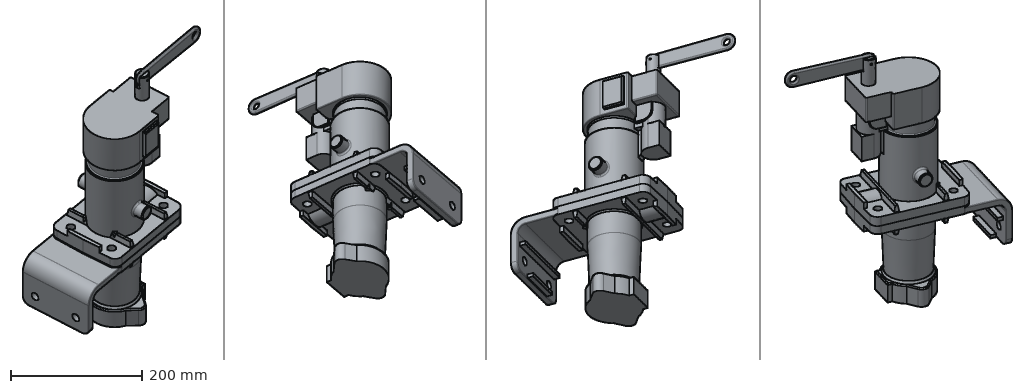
import cadquery as cq
import math


PARTING_Z = 164.8
PLATE_WIDTH = 128.5
PLATE_LENGTH = 165.0
PLATE_CENTRE_Y = 6.5
PLATE_CORNER_RADIUS = 13.0
UPPER_PLATE_TOP = 180.8
LOWER_PLATE_BOTTOM = 150.5
BOLT_DIAMETER = 13.5
BOLT_SPACING_X = 79.0
BOLT_SPACING_Y = 127.0

RIB_HEIGHT = 10.5
RIB_BASE_LENGTH = 123.5
RIB_BASE_WIDTH = 8.2
RIB_TAPER = 10.0
RIB_YS = (48.5, -35.0)
LIP_LENGTH = 62.3
LIP_THICKNESS = 7.0
END_CROWN = 1.7
POST_DIAMETER = 7.0
POST_HEIGHT = 12.5
POST_X = 29.0
CHANNEL_RADIUS = 23.5

TUBE_DIAMETER = 90.0
TUBE_TOP = 295.5
TUBE_CHAMFER = 1.7
NECK_DIAMETER = 80.5
NECK_FILLET = 1.7
NECK_FLARE_HEIGHT = 3.0
NECK_FLARE_WIDTH = 1.5
TRUNNION_DIAMETER = 23.5
TRUNNION_SPAN = 126.3
TRUNNION_Z = 225.0
TRUNNION_CHAMFER = 1.7
TRUNNION_FILLET = 3.0

SLEEVE_DIAMETER = 82.0
SLEEVE_FLARE = 2.5
SLEEVE_TAPER_TOP = 110.5
SLEEVE_END_DIAMETER = 76.5
FOOT_HEIGHT = 33.0
FOOT_RADIUS = 44.0
FOOT_FILLET = 2.0
FOOT_CONE_HEIGHT = 4.5
FOOT_CONE_RADIUS = 41.0
EAR_REACH = 58.0
EAR_TIP_RADIUS = 11.5
EAR_TANGENT_ANGLE = 53.0
EAR_ROOT_X = 37.0
EAR_ROOT_Y = 22.5
TAB_HALF_WIDTH = 23.0
TAB_REACH_Y = 46.0

ARM_END_Y = -145.0
ARM_BOTTOM = 75.2
ARM_TOP = 162.5
ARM_THICKNESS = 11.5
ARM_BEND_RADIUS = 25.0
ARM_CORNER_RADIUS = 13.0
ARM_EDGE_FILLET = 1.5
ARM_HOLE_Z = 100.5
ARM_RIB_REACH = 10.0
ARM_RIB_THICKNESS = 6.0
ARM_RIB_LENGTH = 112.5
ARM_RIB_Z = 122.0

HEAD_TOP = 381.0
HEAD_BOTTOM = 317.5
HEAD_RADIUS = 48.0
HEAD_BACK_Y = 48.5
HEAD_FILLET = 1.5
BLOCK_LEFT_X = -41.0
BLOCK_RIGHT_X = 34.0
BLOCK_BACK_Y = 91.2
BLOCK_BOTTOM = 337.0
BLOCK_FILLET = 2.0
SIDE_PAD_THICKNESS = 5.5
SIDE_PAD_Y = (8.5, 42.5)
SIDE_PAD_Z = (325.0, 374.5)
SIDE_PAD_CHAMFER = 2.0

MOTOR_RADIUS = 18.5
MOTOR_BOTTOM = 256.5
TERMINAL_BACK_Y = 87.5
TERMINAL_TOP = 299.5
CHEEK_HALF_WIDTH = 19.5
CHEEK_BACK_Y = 75.0
CHEEK_BOTTOM = 307.0
CHEEK_CORNER_RADIUS = 15.0
CHEEK_CHAMFER = 1.5
WEB_HALF_WIDTH = 6.5
RAIL_HALF_WIDTH = 15.0
WEB_BOTTOM = 252.5

SHAFT_Y = 67.5
SHAFT_DIAMETER = 22.0
SHAFT_TOP = 427.3
SHAFT_CHAMFER = 1.5
SLOT_BOTTOM = 404.5
LEVER_THICKNESS = 6.5
LEVER_EDGE_FILLET = 2.5
EYE_RADIUS = 14.0
EYE_HOLE_DIAMETER = 11.2
EYE_Y = 193.7
LEVER_Z = 418.5
PIVOT_END_RADIUS = 12.5
PIVOT_HOLE_DIAMETER = 2.7

TUBE_RADIUS = TUBE_DIAMETER / 2
PLATE_BACK_Y = PLATE_CENTRE_Y + PLATE_LENGTH / 2
PLATE_FRONT_Y = PLATE_CENTRE_Y - PLATE_LENGTH / 2
FOOT_CONE_TOP = FOOT_HEIGHT + FOOT_CONE_HEIGHT


def block(x_range, y_range, z_range):
    """Axis-aligned box from its ranges along X, Y and Z."""
    size = [high - low for low, high in (x_range, y_range, z_range)]
    return cq.Workplane("XY").box(*size, centered=False).translate((x_range[0], y_range[0], z_range[0]))


def cylinder(radius, bottom, top, y=0):
    """Upright cylinder on the plane X = 0."""
    return cq.Workplane("XY", origin=(0, y, bottom)).circle(radius).extrude(top - bottom)


def plate_prism(bottom, top):
    """Plate outline, whose two ends rise to a slight peak at X = 0."""
    half_width = PLATE_WIDTH / 2
    half_outline = [
        (half_width, PLATE_FRONT_Y),
        (half_width, PLATE_BACK_Y),
        (0, PLATE_BACK_Y + END_CROWN),
    ]
    other_half = [
        (-half_width, PLATE_BACK_Y),
        (-half_width, PLATE_FRONT_Y),
        (0, PLATE_FRONT_Y - END_CROWN),
    ]
    prism = cq.Workplane("XY", origin=(0, 0, bottom)).polyline(half_outline + other_half).close()
    return prism.extrude(top - bottom)


def clamp_plate(bottom, top):
    return plate_prism(bottom, top).edges("|Z and (<X or >X)").fillet(PLATE_CORNER_RADIUS)


def plate_stiffeners(surface_z, direction):
    """Ribs, posts, end lips and channel half that stand on a plate face; direction is +1 up, -1 down."""
    face = cq.Plane(origin=(0, 0, surface_z), xDir=(1, 0, 0), normal=(0, 0, direction))
    stiffeners = cq.Workplane("XY")
    for y in RIB_YS:
        rib = cq.Workplane(face).center(0, direction * y).rect(RIB_BASE_LENGTH, RIB_BASE_WIDTH)
        stiffeners = stiffeners.add(rib.extrude(RIB_HEIGHT, taper=RIB_TAPER))

    posts = [(-POST_X, direction * RIB_YS[1]), (POST_X, direction * RIB_YS[1])]
    stiffeners = stiffeners.add(
        cq.Workplane(face).pushPoints(posts).circle(POST_DIAMETER / 2).extrude(POST_HEIGHT)
    )

    lip_z = sorted((PARTING_Z, surface_z + direction * RIB_HEIGHT))
    back_peak = PLATE_BACK_Y + END_CROWN
    front_peak = PLATE_FRONT_Y - END_CROWN
    for y_range in ((back_peak - LIP_THICKNESS, back_peak), (front_peak, front_peak + LIP_THICKNESS)):
        lip = block((-LIP_LENGTH / 2, LIP_LENGTH / 2), y_range, lip_z)
        stiffeners = stiffeners.add(lip.intersect(plate_prism(*lip_z)))

    channel = (
        cq.Workplane("XZ", origin=(0, PLATE_BACK_Y, PARTING_Z))
        .circle(CHANNEL_RADIUS)
        .extrude(PLATE_BACK_Y - RIB_YS[0])
    )
    half_z = sorted((PARTING_Z, PARTING_Z + direction * CHANNEL_RADIUS))
    half_space = block((-CHANNEL_RADIUS, CHANNEL_RADIUS), (0, PLATE_BACK_Y), half_z)
    return stiffeners.add(channel.intersect(half_space)).combine()


def bolt_holes():
    return (
        cq.Workplane("XY", origin=(0, PLATE_CENTRE_Y, LOWER_PLATE_BOTTOM))
        .rect(BOLT_SPACING_X, BOLT_SPACING_Y, forConstruction=True)
        .vertices()
        .circle(BOLT_DIAMETER / 2)
        .extrude(UPPER_PLATE_TOP - LOWER_PLATE_BOTTOM)
    )


def trunnions():
    return (
        cq.Workplane("YZ", origin=(-TRUNNION_SPAN / 2, 0, TRUNNION_Z))
        .circle(TRUNNION_DIAMETER / 2)
        .extrude(TRUNNION_SPAN)
        .faces("<X or >X")
        .chamfer(TRUNNION_CHAMFER)
    )


def neck_flare():
    """Cone that widens the neck where it meets the gear head."""
    neck_radius = NECK_DIAMETER / 2
    profile = (
        cq.Workplane("XZ")
        .moveTo(0, HEAD_BOTTOM - NECK_FLARE_HEIGHT)
        .lineTo(neck_radius, HEAD_BOTTOM - NECK_FLARE_HEIGHT)
        .lineTo(neck_radius + NECK_FLARE_WIDTH, HEAD_BOTTOM)
        .lineTo(0, HEAD_BOTTOM)
        .close()
    )
    return profile.revolve(360, (0, 0), (0, 1))


def make_upper_housing():
    tube = cylinder(TUBE_RADIUS, PARTING_Z, TUBE_TOP).faces(">Z").chamfer(TUBE_CHAMFER)
    tube = tube.union(trunnions())
    root_box = cq.selectors.BoxSelector(
        (-TUBE_RADIUS, -TRUNNION_DIAMETER, TRUNNION_Z - TRUNNION_DIAMETER),
        (TUBE_RADIUS, TRUNNION_DIAMETER, TRUNNION_Z + TRUNNION_DIAMETER),
    )
    tube = tube.edges(root_box).edges("not |Z").fillet(TRUNNION_FILLET)

    neck = cylinder(NECK_DIAMETER / 2, TUBE_TOP, HEAD_BOTTOM)
    column = tube.union(neck)
    neck_root = cq.selectors.BoxSelector(
        (-TUBE_RADIUS, -TUBE_RADIUS, TUBE_TOP - TUBE_CHAMFER / 4),
        (TUBE_RADIUS, TUBE_RADIUS, TUBE_TOP + TUBE_CHAMFER / 4),
    )
    column = column.edges(neck_root).edges(cq.selectors.RadiusNthSelector(0)).fillet(NECK_FILLET)
    column = column.union(neck_flare())
    plate = clamp_plate(PARTING_Z, UPPER_PLATE_TOP).union(plate_stiffeners(UPPER_PLATE_TOP, 1))
    return plate.cut(bolt_holes()).union(column)


def lower_sleeve():
    profile = (
        cq.Workplane("XZ")
        .lineTo(FOOT_CONE_RADIUS, 0)
        .lineTo(FOOT_CONE_RADIUS, FOOT_HEIGHT)
        .lineTo(SLEEVE_END_DIAMETER / 2, FOOT_CONE_TOP)
        .lineTo(SLEEVE_DIAMETER / 2, SLEEVE_TAPER_TOP)
        .lineTo(SLEEVE_DIAMETER / 2, LOWER_PLATE_BOTTOM - SLEEVE_FLARE)
        .lineTo(SLEEVE_DIAMETER / 2 + SLEEVE_FLARE, LOWER_PLATE_BOTTOM)
        .lineTo(SLEEVE_DIAMETER / 2, PARTING_Z)
        .lineTo(0, PARTING_Z)
        .close()
    )
    return profile.revolve(360, (0, 0), (0, 1))


def foot():
    """Round foot with a rounded ear on each side and a flat tab at the back."""
    tip_x = EAR_REACH - EAR_TIP_RADIUS
    tangent_x = tip_x + EAR_TIP_RADIUS * math.cos(math.radians(EAR_TANGENT_ANGLE))
    tangent_y = EAR_TIP_RADIUS * math.sin(math.radians(EAR_TANGENT_ANGLE))
    ears = (
        cq.Workplane("XY")
        .moveTo(EAR_ROOT_X, -EAR_ROOT_Y)
        .lineTo(tangent_x, -tangent_y)
        .threePointArc((EAR_REACH, 0), (tangent_x, tangent_y))
        .lineTo(EAR_ROOT_X, EAR_ROOT_Y)
        .lineTo(-EAR_ROOT_X, EAR_ROOT_Y)
        .lineTo(-tangent_x, tangent_y)
        .threePointArc((-EAR_REACH, 0), (-tangent_x, -tangent_y))
        .lineTo(-EAR_ROOT_X, -EAR_ROOT_Y)
        .close()
        .extrude(FOOT_HEIGHT)
    )
    tab = block((-TAB_HALF_WIDTH, TAB_HALF_WIDTH), (0, TAB_REACH_Y), (0, FOOT_HEIGHT))
    body = cylinder(FOOT_RADIUS, 0, FOOT_HEIGHT).union(ears).union(tab)
    return body.faces(">Z").edges().chamfer(FOOT_FILLET)


def bracket_arm():
    """Arm that leaves the lower plate and bends down to a bolted flange."""
    inner_radius = ARM_BEND_RADIUS - ARM_THICKNESS
    bend_y = ARM_END_Y + ARM_BEND_RADIUS
    bend_z = ARM_TOP - ARM_BEND_RADIUS
    diagonal = math.sqrt(0.5)
    root_y = PLATE_FRONT_Y + PLATE_CORNER_RADIUS
    arm = (
        cq.Workplane("YZ", origin=(-PLATE_WIDTH / 2, 0, 0))
        .moveTo(root_y, ARM_TOP)
        .lineTo(bend_y, ARM_TOP)
        .threePointArc(
            (bend_y - ARM_BEND_RADIUS * diagonal, bend_z + ARM_BEND_RADIUS * diagonal), (ARM_END_Y, bend_z)
        )
        .lineTo(ARM_END_Y, ARM_BOTTOM)
        .lineTo(ARM_END_Y + ARM_THICKNESS, ARM_BOTTOM)
        .lineTo(ARM_END_Y + ARM_THICKNESS, bend_z)
        .threePointArc(
            (bend_y - inner_radius * diagonal, bend_z + inner_radius * diagonal),
            (bend_y, ARM_TOP - ARM_THICKNESS),
        )
        .lineTo(root_y, ARM_TOP - ARM_THICKNESS)
        .close()
        .extrude(PLATE_WIDTH)
    )
    arm = arm.edges("|Y and <Z").fillet(ARM_CORNER_RADIUS)
    arm = arm.edges("<X or >X").fillet(ARM_EDGE_FILLET)

    holes = (
        cq.Workplane("XZ", origin=(0, ARM_END_Y + ARM_THICKNESS, ARM_HOLE_Z))
        .pushPoints([(-BOLT_SPACING_X / 2, 0), (BOLT_SPACING_X / 2, 0)])
        .circle(BOLT_DIAMETER / 2)
        .extrude(ARM_THICKNESS)
    )
    arm = arm.cut(holes)

    inner_face = ARM_END_Y + ARM_THICKNESS
    rib_low_z = ARM_BOTTOM + ARM_RIB_THICKNESS / 2
    for length, z in ((ARM_RIB_LENGTH, ARM_RIB_Z), (LIP_LENGTH, rib_low_z)):
        rib_z = (z - ARM_RIB_THICKNESS / 2, z + ARM_RIB_THICKNESS / 2)
        arm = arm.union(
            block((-length / 2, length / 2), (inner_face, inner_face + ARM_RIB_REACH), rib_z)
        )
    return arm


def make_lower_housing():
    plate = clamp_plate(LOWER_PLATE_BOTTOM, PARTING_Z)
    plate = plate.union(plate_stiffeners(LOWER_PLATE_BOTTOM, -1)).union(bracket_arm())
    return plate.cut(bolt_holes()).union(lower_sleeve()).union(foot())


def head_shell():
    shell = (
        cq.Workplane("XY", origin=(0, 0, HEAD_BOTTOM))
        .moveTo(-HEAD_RADIUS, HEAD_BACK_Y)
        .lineTo(-HEAD_RADIUS, 0)
        .threePointArc((0, -HEAD_RADIUS), (HEAD_RADIUS, 0))
        .lineTo(HEAD_RADIUS, HEAD_BACK_Y)
        .close()
        .extrude(HEAD_TOP - HEAD_BOTTOM)
    )
    shell = shell.edges("|Z and >Y").fillet(BLOCK_FILLET).faces("<Z").edges().fillet(HEAD_FILLET)
    drive_block = block((BLOCK_LEFT_X, BLOCK_RIGHT_X), (0, BLOCK_BACK_Y), (BLOCK_BOTTOM, HEAD_TOP))
    drive_block = drive_block.edges("(|Z and >Y) or <Z").fillet(BLOCK_FILLET)
    side_pad = block((0, HEAD_RADIUS + SIDE_PAD_THICKNESS), SIDE_PAD_Y, SIDE_PAD_Z)
    side_pad = side_pad.faces(">X").edges("|Y or >Y").chamfer(SIDE_PAD_CHAMFER)
    return shell.union(drive_block).union(side_pad)


def motor():
    can = cylinder(MOTOR_RADIUS, MOTOR_BOTTOM, BLOCK_BOTTOM + BLOCK_FILLET, SHAFT_Y)
    terminal_box = block(
        (-MOTOR_RADIUS, MOTOR_RADIUS), (SHAFT_Y, TERMINAL_BACK_Y), (MOTOR_BOTTOM, TERMINAL_TOP)
    )
    cheeks = block(
        (-CHEEK_HALF_WIDTH, CHEEK_HALF_WIDTH),
        (HEAD_BACK_Y - BLOCK_FILLET, CHEEK_BACK_Y),
        (CHEEK_BOTTOM, BLOCK_BOTTOM + BLOCK_FILLET),
    )
    cheeks = cheeks.edges("|X and >Y and <Z").fillet(CHEEK_CORNER_RADIUS)
    cheeks = cheeks.faces("<X or >X").edges("not(>Z or <Y)").chamfer(CHEEK_CHAMFER)
    return can.union(terminal_box).union(cheeks)


def motor_web():
    """Web that joins the motor to the column, with a wider rail beside the neck."""
    web = block((-WEB_HALF_WIDTH, WEB_HALF_WIDTH), (0, SHAFT_Y - MOTOR_RADIUS), (WEB_BOTTOM, TERMINAL_TOP))
    web = web.edges("<Z and >Y").chamfer(MOTOR_BOTTOM - WEB_BOTTOM)
    bridge = block((-WEB_HALF_WIDTH, WEB_HALF_WIDTH), (0, SHAFT_Y), (MOTOR_BOTTOM, TERMINAL_TOP))
    rail = block((-RAIL_HALF_WIDTH, RAIL_HALF_WIDTH), (0, SHAFT_Y), (TERMINAL_TOP, HEAD_BOTTOM + HEAD_FILLET))
    return web.union(bridge).union(rail).cut(cylinder(TUBE_RADIUS, WEB_BOTTOM, HEAD_BOTTOM))


def make_gear_head():
    return head_shell().union(motor()).union(motor_web())


def pivot_hole():
    return (
        cq.Workplane("YZ", origin=(-SHAFT_DIAMETER, SHAFT_Y, LEVER_Z))
        .circle(PIVOT_HOLE_DIAMETER / 2)
        .extrude(2 * SHAFT_DIAMETER)
    )


def make_shaft():
    shaft = cylinder(SHAFT_DIAMETER / 2, HEAD_TOP, SHAFT_TOP, SHAFT_Y).faces(">Z").chamfer(SHAFT_CHAMFER)
    slot = block(
        (-LEVER_THICKNESS / 2, LEVER_THICKNESS / 2),
        (SHAFT_Y - SHAFT_DIAMETER, SHAFT_Y + SHAFT_DIAMETER),
        (SLOT_BOTTOM, SHAFT_TOP),
    )
    return shaft.cut(slot).cut(pivot_hole())


def make_lever():
    """Flat lever: two round ends joined by their common tangents, with rounded edges."""
    length = EYE_Y - SHAFT_Y
    tangent_sin = (EYE_RADIUS - PIVOT_END_RADIUS) / length
    tangent_cos = math.sqrt(1 - tangent_sin**2)
    pivot_y = SHAFT_Y - PIVOT_END_RADIUS * tangent_sin
    pivot_z = PIVOT_END_RADIUS * tangent_cos
    eye_y = EYE_Y - EYE_RADIUS * tangent_sin
    eye_z = EYE_RADIUS * tangent_cos
    lever = (
        cq.Workplane("YZ", origin=(-LEVER_THICKNESS / 2, 0, LEVER_Z))
        .moveTo(pivot_y, pivot_z)
        .lineTo(eye_y, eye_z)
        .threePointArc((EYE_Y + EYE_RADIUS, 0), (eye_y, -eye_z))
        .lineTo(pivot_y, -pivot_z)
        .threePointArc((SHAFT_Y - PIVOT_END_RADIUS, 0), (pivot_y, pivot_z))
        .close()
        .moveTo(EYE_Y, 0)
        .circle(EYE_HOLE_DIAMETER / 2)
        .extrude(LEVER_THICKNESS)
        .faces("<X or >X")
        .edges()
        .fillet(LEVER_EDGE_FILLET)
    )
    return lever.cut(pivot_hole())


lower_housing = make_lower_housing()
upper_housing = make_upper_housing()
gear_head = make_gear_head()
shaft = make_shaft()
lever = make_lever()

result = cq.Compound.makeCompound(
    [lower_housing.val(), upper_housing.val(), gear_head.val(), shaft.val(), lever.val()]
)